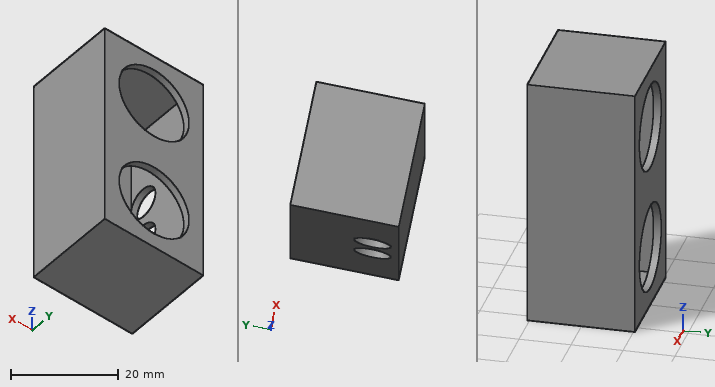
import cadquery as cq

width = 24.0
depth = 20.7
height = 49.0
wall = 1.5

eye_diameter = 17.0
eye_offset = 12.5

side_hole_diameter = 7.0
side_hole_offset = 4.65
side_hole_setback = 5.0

side_hole_y = side_hole_setback - depth / 2


def make_shell():
    """Box centred on the origin with a uniform wall around a closed cavity."""
    outer = cq.Workplane("XY").box(width, depth, height)
    cavity = cq.Workplane("XY").box(width - 2 * wall, depth - 2 * wall, height - 2 * wall)
    return outer.cut(cavity)


def make_eye_cutters():
    """Cylinders along Y that reach from mid-depth out through the +Y wall."""
    centers = [(0, -eye_offset), (0, eye_offset)]
    return cq.Workplane("XZ").pushPoints(centers).circle(eye_diameter / 2).extrude(-depth / 2)


def make_side_hole_cutters():
    """Cylinders along X that reach from mid-width out through the -X wall."""
    centers = [(side_hole_y, -side_hole_offset), (side_hole_y, side_hole_offset)]
    return cq.Workplane("YZ").pushPoints(centers).circle(side_hole_diameter / 2).extrude(-width / 2)


result = make_shell().cut(make_eye_cutters()).cut(make_side_hole_cutters())